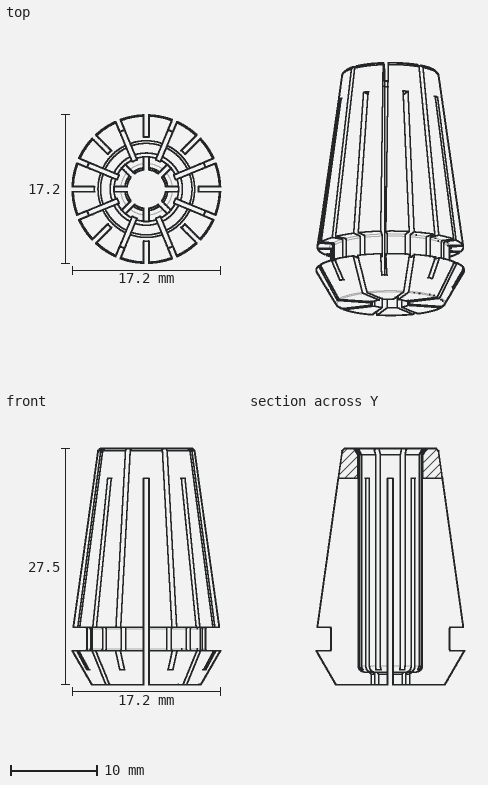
import cadquery as cq
import math

total_height = 27.5
flange_radius = 8.625

nose_height = 3.98
nose_half_angle = 30.0
nose_edge_fillet = 0.2

groove_radius = 6.9
groove_top_z = 6.7
groove_fillet = 0.2

body_base_radius = 8.5
body_half_angle = 8.0
rim_chamfer = 0.3

bore_radius = 3.75
bore_mouth_radius = 4.2
bore_mouth_half_angle = 30.0
bore_floor_z = 1.5
bore_floor_fillet = 0.75
nose_hole_radius = 2.25
nose_hole_chamfer = 0.25

slot_width = 0.6
slot_count = 8
lower_slot_top_z = 24.0
upper_slot_floor_z = 1.75

slot_pitch = 360.0 / slot_count
nose_slope = math.tan(math.radians(nose_half_angle))
body_slope = math.tan(math.radians(body_half_angle))
nose_bottom_radius = flange_radius - nose_height * nose_slope
bore_mouth_depth = (bore_mouth_radius - bore_radius) / math.tan(math.radians(bore_mouth_half_angle))
nose_edge_tangent = nose_edge_fillet * math.tan(math.radians((90 - nose_half_angle) / 2))
nose_edge_top_radius = nose_bottom_radius + nose_edge_tangent * math.sin(math.radians(nose_half_angle))
nose_edge_top_z = nose_edge_tangent * math.cos(math.radians(nose_half_angle))
rim_base_z = total_height - rim_chamfer
rim_base_radius = body_base_radius - (rim_base_z - groove_top_z) * body_slope


def make_outer_body():
    """Revolve the solid outer shape: nose cone, groove and body cone."""
    profile = (
        cq.Workplane("XZ")
        .moveTo(0, 0)
        .lineTo(nose_bottom_radius - nose_edge_tangent, 0)
        .radiusArc((nose_edge_top_radius, nose_edge_top_z), -nose_edge_fillet)
        .lineTo(flange_radius, nose_height)
        .lineTo(groove_radius + groove_fillet, nose_height)
        .radiusArc((groove_radius, nose_height + groove_fillet), groove_fillet)
        .lineTo(groove_radius, groove_top_z - groove_fillet)
        .radiusArc((groove_radius + groove_fillet, groove_top_z), groove_fillet)
        .lineTo(body_base_radius, groove_top_z)
        .lineTo(rim_base_radius, rim_base_z)
        .lineTo(rim_base_radius - rim_chamfer, total_height)
        .lineTo(0, total_height)
        .close()
    )
    return profile.revolve(360, (0, 0, 0), (0, 1, 0))


def make_bore():
    """Revolve the bore: chamfered mouth, rounded floor and the smaller nose hole."""
    fillet_center_radius = bore_radius - bore_floor_fillet
    fillet_center_z = bore_floor_z + bore_floor_fillet
    fillet_reach = bore_floor_fillet * math.sqrt(0.5)
    profile = (
        cq.Workplane("XZ")
        .moveTo(0, 0)
        .lineTo(nose_hole_radius, 0)
        .lineTo(nose_hole_radius, bore_floor_z - nose_hole_chamfer)
        .lineTo(nose_hole_radius + nose_hole_chamfer, bore_floor_z)
        .lineTo(fillet_center_radius, bore_floor_z)
        .threePointArc(
            (fillet_center_radius + fillet_reach, fillet_center_z - fillet_reach),
            (bore_radius, fillet_center_z),
        )
        .lineTo(bore_radius, total_height - bore_mouth_depth)
        .lineTo(bore_mouth_radius, total_height)
        .lineTo(0, total_height)
        .close()
    )
    return profile.revolve(360, (0, 0, 0), (0, 1, 0))


def cut_slots(body, bottom_z, top_z, first_angle):
    """Cut evenly spaced radial slots between two heights."""
    slot_length = 2 * flange_radius
    slot = (
        cq.Workplane("XY", origin=(0, 0, bottom_z))
        .rect(slot_length, slot_width)
        .extrude(top_z - bottom_z)
        .translate((slot_length / 2, 0, 0))
    )
    for index in range(slot_count):
        angle = first_angle + index * slot_pitch
        body = body.cut(slot.rotate((0, 0, 0), (0, 0, 1), angle))
    return body


collet = make_outer_body().cut(make_bore())
collet = cut_slots(collet, 0, lower_slot_top_z, 0)
collet = cut_slots(collet, upper_slot_floor_z, total_height, slot_pitch / 2)
result = collet